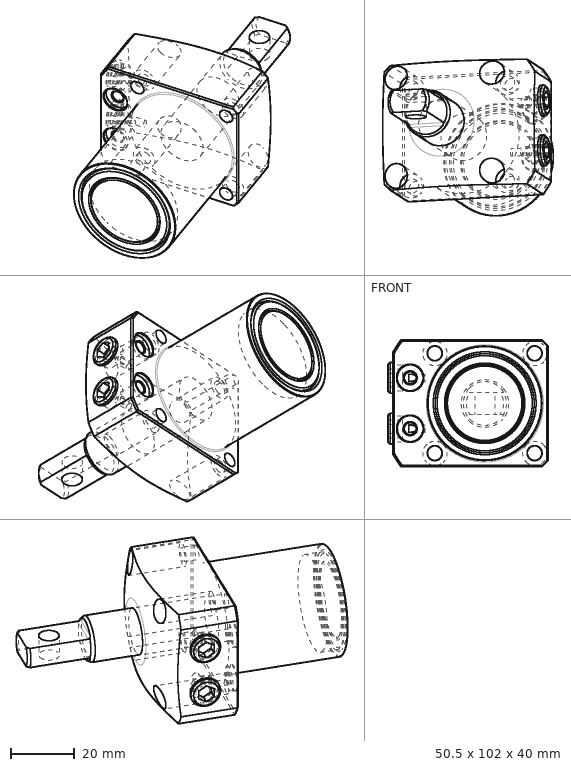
import cadquery as cq
import math


flange_left = 29.0
flange_right = 20.0
flange_height = 40.0
flange_top = 25.0
crown_flat_radius = 10.7
crown_slope = 15.0
rounded_end_radius = 33.0
corner_cut = 2.0
rear_bevel = 0.5

tube_radius = 18.1
tube_length = 39.5
tube_root_fillet = 0.4
tube_end_chamfer = 0.2

mount_hole_diameter = 4.6
mount_hole_offset = 15.7
mount_recess_diameter = 7.6
mount_web = 4.6

cap_radius = 15.6
cap_thickness = 6.1
cap_edge_chamfer = 0.6
cap_groove_outer_radius = 12.6
cap_groove_width = 0.9

rod_radius = 15.0 / 2
rod_tip = 62.5
tang_radius = 13.6 / 2
tang_thickness = 7.0
tang_flat_start = 41.6
tang_fillet = 0.8
tang_tip_chamfer = 0.9
shoulder_taper_start = 40.6
shoulder_taper_length = 1.2
eye_diameter = 6.4
eye_to_tip = 9.0

port_pitch = 16.0
port_heights = [-port_pitch / 2, port_pitch / 2]
plug_depth_position = 11.1
plug_head_radius = 4.9
plug_head_height = 1.5
plug_head_chamfer = 0.7
plug_shank_radius = 4.1
plug_shank_length = 3.1
hex_across_flats = 5.0
hex_depth = 3.1
passage_diameter = 2.3
passage_length = 5.1
passage_start_offset = 0.5
port_x = -23.5
port_diameter = 3.8
port_straight_depth = 10.2
port_tip_angle = 118.0
port_edge_chamfer = 0.3
port_recess_diameter = 8.2
port_recess_depth = 1.5
port_recess_chamfer = 0.2


def y_cylinder(radius, start, end, x=0.0, z=0.0):
    """Cylinder parallel to Y, running from Y = start to Y = end."""
    return cq.Workplane(cq.Solid.makeCylinder(radius, end - start, cq.Vector(x, start, z), cq.Vector(0, 1, 0)))


def x_cylinder(radius, start, length, z):
    """Cylinder parallel to X on the axis of a plug, starting at X = start."""
    base = cq.Vector(start, plug_depth_position, z)
    return cq.Workplane(cq.Solid.makeCylinder(radius, length, base, cq.Vector(1, 0, 0)))


def turned(profile):
    """Solid of revolution about Y from (radius, Y) points."""
    return cq.Workplane("XY").polyline(profile).close().revolve(360, (0, 0, 0), (0, 1, 0))


def make_flange():
    width = flange_left + flange_right
    box = cq.Workplane("XY").box(width, flange_top, flange_height, centered=(False, False, True))
    box = box.translate((-flange_left, 0, 0))
    block = box.intersect(y_cylinder(rounded_end_radius, 0, flange_top))
    block = block.faces("<Y").chamfer(rear_bevel)
    block = block.intersect(box.edges("|Y and >X").chamfer(corner_cut))
    rim_radius = width
    rim_y = flange_top - (rim_radius - crown_flat_radius) * math.tan(math.radians(crown_slope))
    crown = turned([
        (0, 0),
        (rim_radius, 0),
        (rim_radius, rim_y),
        (crown_flat_radius, flange_top),
        (0, flange_top),
    ])
    return block.intersect(crown)


def make_tube():
    """Solid tube with a flared root, reaching the mounting face of the flange."""
    root_radius = tube_radius + tube_root_fillet
    arc_reach = tube_root_fillet * (1 - math.sqrt(0.5))
    return (
        cq.Workplane("XY")
        .lineTo(root_radius, 0)
        .threePointArc((tube_radius + arc_reach, -arc_reach), (tube_radius, -tube_root_fillet))
        .lineTo(tube_radius, tube_end_chamfer - tube_length)
        .lineTo(tube_radius - tube_end_chamfer, -tube_length)
        .lineTo(0, -tube_length)
        .close()
        .revolve(360, (0, 0, 0), (0, 1, 0))
    )


def cap_seat():
    """Recess for the end cap, with a chamfered mouth."""
    mouth_radius = cap_radius + cap_edge_chamfer
    return turned([
        (0, -tube_length),
        (mouth_radius, -tube_length),
        (cap_radius, cap_edge_chamfer - tube_length),
        (cap_radius, cap_thickness - tube_length),
        (0, cap_thickness - tube_length),
    ])


def port_cutter(z):
    """Plug bore, inner passage and drilled, recessed rear port of one oil connection."""
    bore = x_cylinder(plug_shank_radius, -flange_left, plug_shank_length, z)
    passage = x_cylinder(passage_diameter / 2, port_x - passage_start_offset, passage_length, z)
    hole_radius = port_diameter / 2
    recess_radius = port_recess_diameter / 2
    tip_length = hole_radius / math.tan(math.radians(port_tip_angle / 2))
    port = turned([
        (0, 0),
        (recess_radius + port_recess_chamfer, 0),
        (recess_radius, port_recess_chamfer),
        (recess_radius, port_recess_depth),
        (hole_radius + port_edge_chamfer, port_recess_depth),
        (hole_radius, port_recess_depth + port_edge_chamfer),
        (hole_radius, port_straight_depth),
        (0, port_straight_depth + tip_length),
    ])
    return bore.union(passage).union(port.translate((port_x, 0, z)))


def make_housing():
    housing = make_flange().union(make_tube())
    for x in (-mount_hole_offset, mount_hole_offset):
        for z in (-mount_hole_offset, mount_hole_offset):
            housing = housing.cut(y_cylinder(mount_hole_diameter / 2, 0, flange_top, x, z))
            housing = housing.cut(y_cylinder(mount_recess_diameter / 2, mount_web, flange_top, x, z))
    for z in port_heights:
        housing = housing.cut(port_cutter(z))
    housing = housing.cut(y_cylinder(rod_radius, 0, flange_top))
    return housing.cut(cap_seat())


def make_cap():
    rear = -tube_length
    groove_inner_radius = cap_groove_outer_radius - cap_groove_width
    groove_depth = cap_groove_width / 2
    return turned([
        (0, rear),
        (groove_inner_radius, rear),
        (groove_inner_radius + groove_depth, rear + groove_depth),
        (cap_groove_outer_radius, rear),
        (cap_radius - cap_edge_chamfer, rear),
        (cap_radius, rear + cap_edge_chamfer),
        (cap_radius, rear + cap_thickness),
        (0, rear + cap_thickness),
    ])


def make_rod():
    rod = turned([
        (0, 0),
        (rod_radius, 0),
        (rod_radius, shoulder_taper_start),
        (tang_radius, shoulder_taper_start + shoulder_taper_length),
        (tang_radius, rod_tip - tang_tip_chamfer),
        (tang_radius - tang_tip_chamfer, rod_tip),
        (0, rod_tip),
    ])
    tang_length = rod_tip - tang_flat_start
    for side in (-1, 1):
        flat_cutter = (
            cq.Workplane("XY")
            .box(2 * rod_radius, tang_length, rod_radius, centered=(True, False, True))
            .edges("|X and <Y")
            .edges(">Z" if side < 0 else "<Z")
            .fillet(tang_fillet)
            .translate((0, tang_flat_start, side * (tang_thickness + rod_radius) / 2))
        )
        rod = rod.cut(flat_cutter)
    eye = cq.Workplane("XY").center(0, rod_tip - eye_to_tip).circle(eye_diameter / 2)
    return rod.cut(eye.extrude(tang_thickness, both=True))


def make_plug(z):
    head_face = -flange_left - plug_head_height
    head = x_cylinder(plug_head_radius, head_face, plug_head_height, z).faces("<X").chamfer(plug_head_chamfer)
    shank = x_cylinder(plug_shank_radius, -flange_left, plug_shank_length, z)
    across_corners = hex_across_flats / math.cos(math.pi / 6)
    socket = (
        cq.Workplane("YZ", origin=(head_face, plug_depth_position, z))
        .transformed(rotate=(0, 0, 90))
        .polygon(6, across_corners)
        .extrude(hex_depth)
    )
    return head.union(shank).cut(socket)


housing = make_housing()
end_cap = make_cap()
rod = make_rod()
plugs = [make_plug(z) for z in port_heights]

result = cq.Compound.makeCompound([
    housing.val(),
    end_cap.val(),
    rod.val(),
    *[plug.val() for plug in plugs],
])